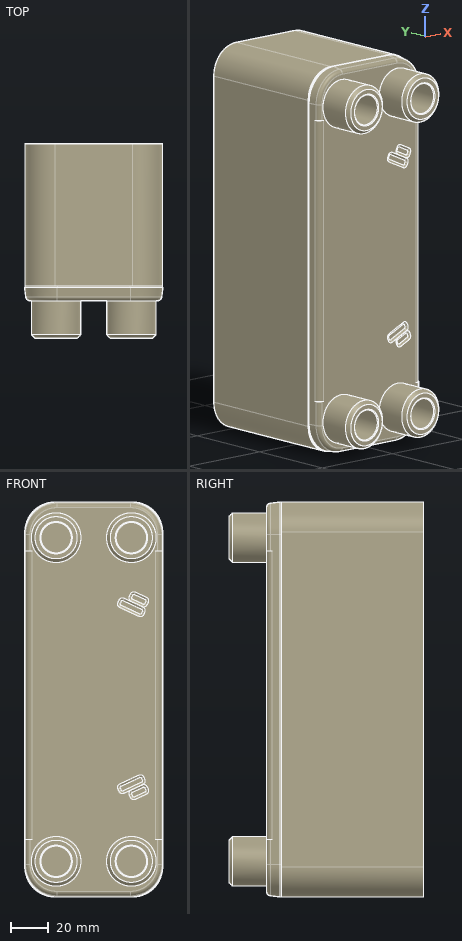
import cadquery as cq


pack_width = 73.3
height = 210.0
pack_depth = 75.6
pack_corner_radius = 16.0

channel_thickness = 0.8
channel_corner_radius = 17.4

cover_width = 73.72
cover_front_depth = 83.6
cover_corner_radius = 17.4
cover_draft = 7.0
cover_edge_radius = 2.4
waist_top = 78.9
waist_bottom = -74.5
waist_edge_radius = 3.45

port_length = 20.0
port_diameter = 26.4
port_spacing_x = 40.0
port_spacing_z = 172.0
port_bore_diameter = 16.2
bore_chamfer = 0.5
port_chamfer_radial = 2.0
port_chamfer_axial = 2.0

mark_x = 20.0
upper_mark_z = 49.0
lower_mark_z = -45.0
mark_tilt = 25.0
slot_width = 5.4
long_slot_length = 15.2
short_slot_length = 10.5
short_slot_shift = 1.8
slot_pitch = 5.5
slot_corner_radius = 2.0
slot_depth = 0.8
slot_wall_draft = 60.0

channel_front_depth = pack_depth + channel_thickness
cover_thickness = cover_front_depth - channel_front_depth


def front_plane(depth):
    """Plane facing -Y, at a distance in front of the back plane, with local x, y along X, Z."""
    return cq.Workplane("XZ", origin=(0, -depth, 0))


def rounded_plate(depth, thickness, plate_width, plate_height, corner_radius, draft=0.0):
    """Rounded rectangle that grows toward -Y and narrows by the draft angle."""
    outline = cq.Sketch().rect(plate_width, plate_height).vertices().fillet(corner_radius)
    return front_plane(depth).placeSketch(outline).extrude(thickness, taper=draft)


def drafted_cover(edge_radius):
    """Cover plate with drafted walls and one rounded edge all round its front."""
    plate = rounded_plate(
        channel_front_depth,
        cover_thickness,
        cover_width,
        height,
        cover_corner_radius,
        cover_draft,
    )
    return plate.faces("<Y").edges().fillet(edge_radius)


def waist_block():
    """Block around the middle of the long sides, between the two pairs of ports."""
    return (
        cq.Workplane("XY", origin=(0, 0, waist_bottom))
        .rect(2 * cover_width, 4 * cover_front_depth)
        .extrude(waist_top - waist_bottom)
    )


def slot(length, along, across):
    """Slot of the upper flow mark; its place is measured along and across the tilted mark."""
    outline = cq.Sketch().rect(length, slot_width).vertices().fillet(slot_corner_radius)
    return (
        front_plane(cover_front_depth)
        .center(mark_x, upper_mark_z)
        .transformed(rotate=(0, 0, -mark_tilt))
        .center(along, across)
        .placeSketch(outline)
        .extrude(-slot_depth, taper=slot_wall_draft)
    )


def make_cover():
    """Drafted cover with a wider rounded edge along its waist and two mirrored flow marks."""
    ends = drafted_cover(cover_edge_radius).cut(waist_block())
    waist = drafted_cover(waist_edge_radius).intersect(waist_block())
    plate = ends.union(waist)
    slots = [
        slot(long_slot_length, 0.0, 0.0),
        slot(short_slot_length, short_slot_shift, slot_pitch),
    ]
    mirror_base = (0, 0, (upper_mark_z + lower_mark_z) / 2)
    for upper_slot in slots:
        plate = plate.cut(upper_slot).cut(upper_slot.mirror("XY", mirror_base))
    return plate


def make_port(x, z):
    """Tube standing on the cover, with a chamfered rim and bore mouth."""
    outer_radius = port_diameter / 2
    bore_radius = port_bore_diameter / 2
    half_section = [
        (bore_radius, 0),
        (outer_radius, 0),
        (outer_radius, port_length - port_chamfer_axial),
        (outer_radius - port_chamfer_radial, port_length),
        (bore_radius + bore_chamfer, port_length),
        (bore_radius, port_length - bore_chamfer),
    ]
    tube = cq.Workplane("XY").polyline(half_section).close().revolve(360, (0, 0, 0), (0, 1, 0))
    return tube.rotate((0, 0, 0), (0, 0, 1), 180).translate((x, -cover_front_depth, z))


plate_pack = rounded_plate(0, pack_depth, pack_width, height, pack_corner_radius)
channel_plate = rounded_plate(pack_depth, channel_thickness, pack_width, height, channel_corner_radius)
cover = make_cover()
ports = [
    make_port(side_x * port_spacing_x / 2, side_z * port_spacing_z / 2)
    for side_x in (-1, 1)
    for side_z in (-1, 1)
]

result = cq.Compound.makeCompound(
    [plate_pack.val(), channel_plate.val(), cover.val(), *[port.val() for port in ports]]
)